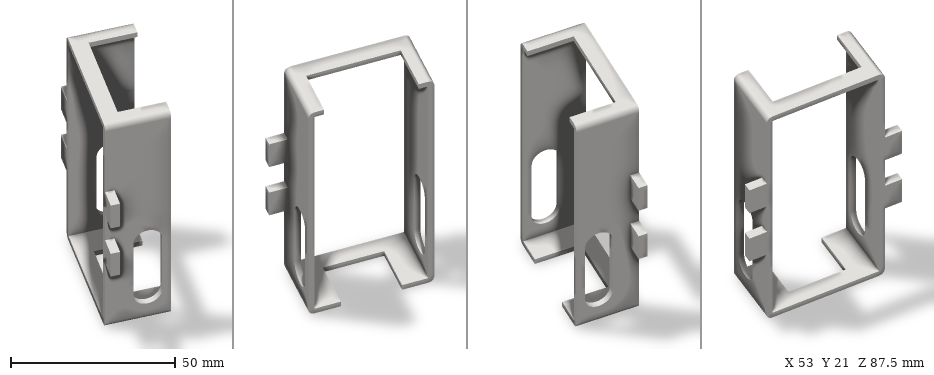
import cadquery as cq

frame_height = 87.5
frame_width = 40.95
frame_depth = 21.0
wall = 2.0
corner_radius = 2.0

front_strip = 5.5
top_notch_width = 30.8
bottom_notch_width = 19.95

tab_span = 53.0
tab_depth = 3.0
tab_height = 9.9
tab_spacing = 21.0

slot_width = 9.2
slot_length = 31.7
slot_center_y = 13.6
slot_bottom_gap = 6.8


def box(width, depth, height, y_front, z_center):
    """Box centred on X, starting at y_front and centred on z_center."""
    return (
        cq.Workplane("XY")
        .box(width, depth, height, centered=(True, False, True))
        .translate((0, y_front, z_center))
    )


def make_tabs():
    """Two bars across the full span; the frame opening later splits them into tabs."""
    tabs = cq.Workplane("XY")
    for side in (-1, 1):
        tabs = tabs.add(box(tab_span, tab_depth, tab_height, 0, side * tab_spacing / 2))
    return tabs.combine()


def make_end_notch(width, side):
    """Cutter for the top (side=1) or bottom (side=-1) end wall."""
    z_center = side * (frame_height - wall) / 2
    return box(width, frame_depth - front_strip, 2 * wall, front_strip, z_center)


def make_side_slot():
    slot_center_z = -frame_height / 2 + slot_bottom_gap + slot_length / 2
    return (
        cq.Workplane("YZ")
        .center(slot_center_y, slot_center_z)
        .slot2D(slot_length, slot_width, 90)
        .extrude(frame_width, both=True)
    )


outer_block = box(frame_width, frame_depth, frame_height, 0, 0).edges("|Y").fillet(corner_radius)
opening = box(frame_width - 2 * wall, frame_depth, frame_height - 2 * wall, 0, 0)

result = (
    outer_block.union(make_tabs())
    .cut(opening)
    .cut(make_end_notch(top_notch_width, 1))
    .cut(make_end_notch(bottom_notch_width, -1))
    .cut(make_side_slot())
)